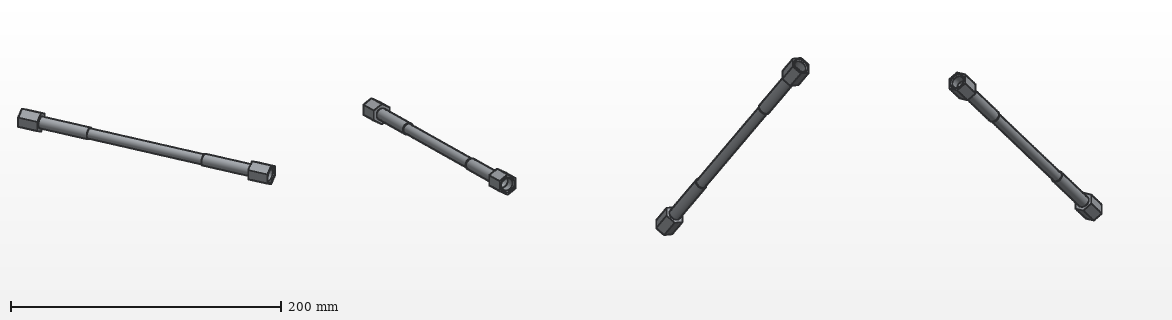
import cadquery as cq

length = 203.2
hex_across_corners = 15.8

nut_length = 15.6
sleeve_end = 54.9

sleeve_diameter = 9.1
hose_diameter = 8.0

mouth_diameter = 11.8
socket_diameter = 9.5
mouth_depth = 1.0
wall_end = 8.1
seat_depth = 2.5
bore_diameter = 1.8

half_length = length / 2


def rod(diameter, rod_length):
    """Cylinder along X, centred on the origin."""
    start = cq.Workplane("YZ").workplane(offset=-rod_length / 2)
    return start.circle(diameter / 2).extrude(rod_length)


def nut():
    """Hexagonal nut at the -X end, with corners pointing along Z."""
    start = cq.Workplane("YZ").workplane(offset=-half_length)
    hexagon = start.polygon(6, hex_across_corners).extrude(nut_length)
    return hexagon.rotate((0, 0, 0), (1, 0, 0), 90)


def socket():
    """Revolved cavity opening at the -X end face."""
    seat_end = wall_end + seat_depth
    profile = (
        cq.Workplane("XY")
        .moveTo(-half_length, 0)
        .lineTo(-half_length, mouth_diameter / 2)
        .lineTo(-half_length + mouth_depth, socket_diameter / 2)
        .lineTo(-half_length + wall_end, socket_diameter / 2)
        .lineTo(-half_length + seat_end, bore_diameter / 2)
        .lineTo(-half_length + seat_end, 0)
        .close()
    )
    return profile.revolve(360, (0, 0, 0), (1, 0, 0))


def both_ends(end_shape):
    """The -X end shape together with its mirror image at the +X end."""
    return end_shape.union(end_shape.mirror("YZ"))


sleeved_length = length - 2 * nut_length
bare_length = length - 2 * sleeve_end

sleeve = rod(sleeve_diameter, sleeved_length).cut(rod(sleeve_diameter, bare_length))
body = rod(hose_diameter, sleeved_length).union(sleeve).union(both_ends(nut()))

result = body.cut(both_ends(socket())).cut(rod(bore_diameter, length))